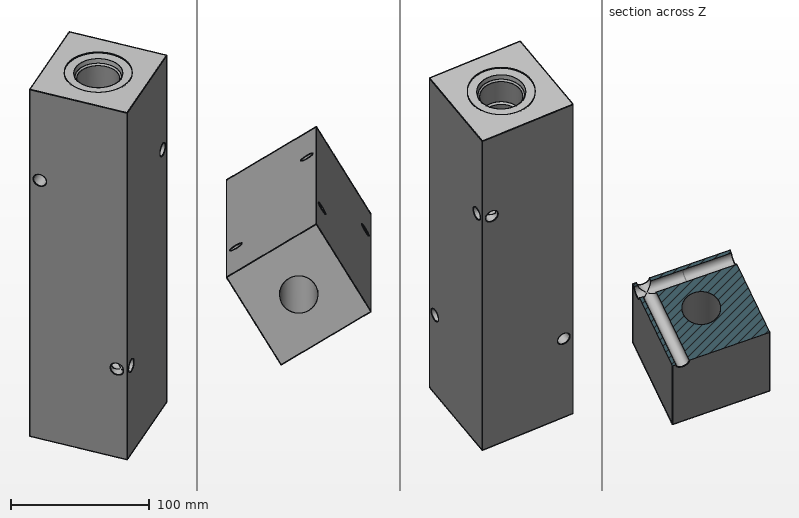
import cadquery as cq
import math

LENGTH = 311.0
WIDTH = 76.2
EDGE_BREAK = 0.3

BORE_DIAMETER = 27.7
PORT_DIAMETER = 31.0
PORT_DEPTH = 25.0
SEAL_MOUTH_DIAMETER = 35.5
SEAL_DEPTH = 3.5
SEAL_ANGLE = 15.0
LEAD_IN_ANGLE = 45.0
STEP_ANGLE = 59.0
SPOTFACE_DIAMETER = 49.2
SPOTFACE_DEPTH = 1.0

MOUNT_DIAMETER = 10.0
MOUNT_EDGE_DISTANCE = 8.0
MOUNT_END_DISTANCE = 79.3

mount_offset = WIDTH / 2 - MOUNT_EDGE_DISTANCE
mount_height = LENGTH / 2 - MOUNT_END_DISTANCE
top = LENGTH / 2


def taper_length(radius_change, angle):
    """Axial length of a cone whose wall leans at the angle from its axis."""
    return radius_change / math.tan(math.radians(angle))


def port_cutter():
    """Spotface, tapered seal seat, port and through bore revolved about Z."""
    bore_radius = BORE_DIAMETER / 2
    port_radius = PORT_DIAMETER / 2
    mouth_radius = SEAL_MOUTH_DIAMETER / 2
    seat_radius = mouth_radius - SEAL_DEPTH * math.tan(math.radians(SEAL_ANGLE))
    spotface_radius = SPOTFACE_DIAMETER / 2
    spotface_floor = top - SPOTFACE_DEPTH
    seat_floor = spotface_floor - SEAL_DEPTH
    port_top = seat_floor - taper_length(seat_radius - port_radius, LEAD_IN_ANGLE)
    port_floor = spotface_floor - PORT_DEPTH
    bore_top = port_floor - taper_length(port_radius - bore_radius, STEP_ANGLE)
    return (
        cq.Workplane("XZ")
        .moveTo(0, -top)
        .lineTo(bore_radius, -top)
        .lineTo(bore_radius, bore_top)
        .lineTo(port_radius, port_floor)
        .lineTo(port_radius, port_top)
        .lineTo(seat_radius, seat_floor)
        .lineTo(mouth_radius, spotface_floor)
        .lineTo(spotface_radius, spotface_floor)
        .lineTo(spotface_radius, top)
        .lineTo(0, top)
        .close()
        .revolve(360, (0, 0, 0), (0, 1, 0))
    )


def mount_cutter(plane, upper_offset):
    """Two holes through the block, diagonally opposite on the given plane."""
    centres = [(upper_offset, mount_height), (-upper_offset, -mount_height)]
    return (
        cq.Workplane(plane)
        .pushPoints(centres)
        .circle(MOUNT_DIAMETER / 2)
        .extrude(WIDTH / 2, both=True)
    )


block = cq.Workplane("XY").box(WIDTH, WIDTH, LENGTH).edges().chamfer(EDGE_BREAK)
block = block.cut(port_cutter())
block = block.cut(mount_cutter("XZ", -mount_offset))
block = block.cut(mount_cutter("YZ", mount_offset))
mount_mouths = block.faces("<X or >X or <Y or >Y").edges("%CIRCLE")
result = mount_mouths.chamfer(EDGE_BREAK)